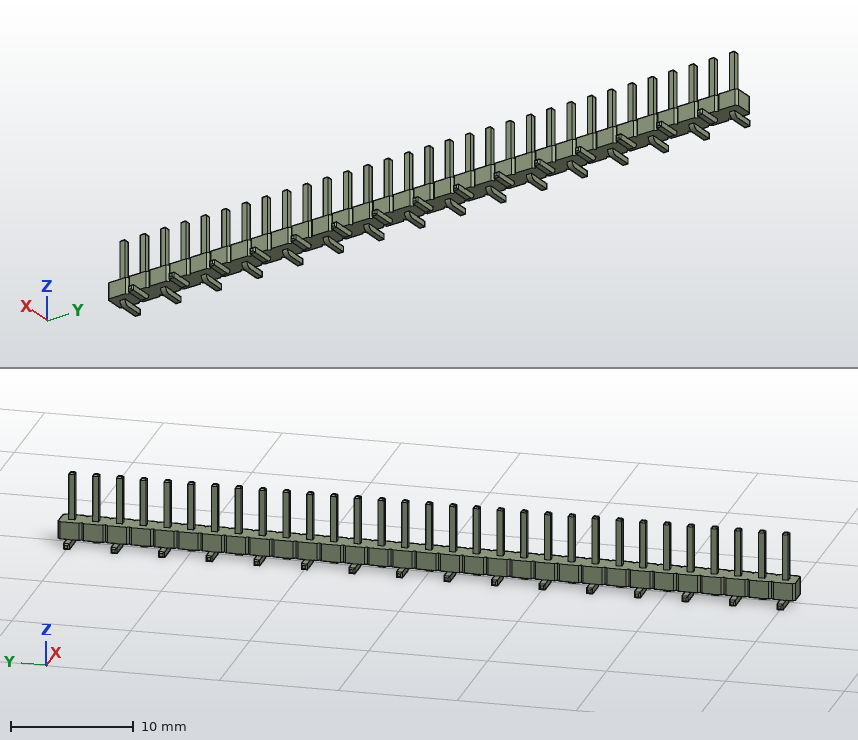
import cadquery as cq

strip_length = 62.0
total_height = 6.0
leg_span = 4.2

pin_count = 31
pitch = strip_length / pin_count
body_width = pitch
body_height = 1.5
body_corner = 0.2

pin_size = 0.5
tip_length = 0.1
tip_inset = 0.1
bend_radius = pin_size

body_bottom = pin_size
half_pin = pin_size / 2
leg_reach = leg_span / 2


def tapered_tip():
    """Blunt pyramid pointing up from the origin, sized to end a pin."""
    tip_size = pin_size - 2 * tip_inset
    return (
        cq.Workplane("XY")
        .rect(pin_size, pin_size)
        .workplane(offset=tip_length)
        .rect(tip_size, tip_size)
        .loft(ruled=True)
    )


def bent_pin():
    """Upright pin whose foot bends out toward -X, flush with the floor."""
    shank_top = total_height - tip_length
    foot_end = leg_reach - tip_length
    wire = (
        cq.Workplane("XZ")
        .moveTo(-foot_end, 0)
        .lineTo(half_pin, 0)
        .lineTo(half_pin, shank_top)
        .lineTo(-half_pin, shank_top)
        .lineTo(-half_pin, pin_size)
        .lineTo(-foot_end, pin_size)
        .close()
        .extrude(half_pin, both=True)
    )
    wire = wire.edges("|Y and >X and <Z").fillet(bend_radius)
    top_tip = tapered_tip().translate((0, 0, shank_top))
    foot_tip = (
        tapered_tip()
        .rotate((0, 0, 0), (0, 1, 0), -90)
        .translate((-foot_end, 0, half_pin))
    )
    return wire.union(top_tip).union(foot_tip)


def body_block():
    """One insulator segment with its four upright corners chamfered."""
    return (
        cq.Workplane("XY")
        .box(body_width, pitch, body_height, centered=(True, True, False))
        .edges("|Z")
        .chamfer(body_corner)
        .translate((0, 0, body_bottom))
    )


left_contact = body_block().union(bent_pin())
right_contact = left_contact.rotate((0, 0, 0), (0, 0, 1), 180)

result = cq.Workplane("XY")
for index in range(pin_count):
    contact = left_contact if index % 2 == 0 else right_contact
    position = (index - (pin_count - 1) / 2) * pitch
    result = result.union(contact.translate((0, position, 0)))